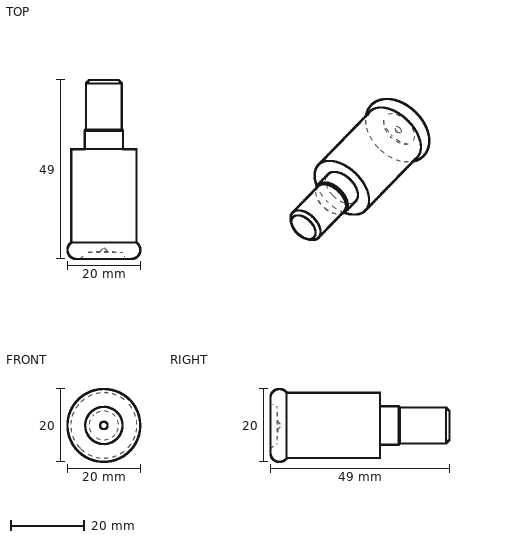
import cadquery as cq
import math

total_length = 49.0
rim_radius = 10.0
rim_tube_radius = 2.5
body_radius = 8.95
rim_back_radius = 9.0
rim_back_taper = 0.2
collar_radius = 5.3
shank_radius = 4.95
body_to_end = 18.95
collar_to_end = 13.95
collar_chamfer_length = 0.45
end_chamfer = 1.0
floor_radius = 5.1
floor_cone_depth = 0.4
center_hole_radius = 1.05
center_hole_angle = 90.0

tube_center_radius = rim_radius - rim_tube_radius
tube_center_y = rim_tube_radius

arc_inset = rim_tube_radius * (1 - math.sqrt(0.5))


def tube_half_height(radius):
    """Axial distance from the tube's centre to its surface at a given radius."""
    return math.sqrt(rim_tube_radius**2 - (radius - tube_center_radius) ** 2)


floor_y = tube_center_y - tube_half_height(floor_radius)
rim_back_y = tube_center_y + tube_half_height(rim_back_radius)
body_start_y = rim_back_y + rim_back_taper
body_end_y = total_length - body_to_end
collar_end_y = total_length - collar_to_end
shank_start_y = collar_end_y + collar_chamfer_length


def turned_body():
    """Stepped shank, body and rounded rim with a shallow conical floor."""
    profile = (
        cq.Workplane("XY")
        .moveTo(0, floor_y + floor_cone_depth)
        .lineTo(floor_radius, floor_y)
        .threePointArc((rim_radius - arc_inset, arc_inset), (rim_back_radius, rim_back_y))
        .lineTo(body_radius, body_start_y)
        .lineTo(body_radius, body_end_y)
        .lineTo(collar_radius, body_end_y)
        .lineTo(collar_radius, collar_end_y)
        .lineTo(shank_radius, shank_start_y)
        .lineTo(shank_radius, total_length - end_chamfer)
        .lineTo(shank_radius - end_chamfer, total_length)
        .lineTo(0, total_length)
        .close()
    )
    return profile.revolve(360, (0, 0, 0), (0, 1, 0))


def center_hole():
    """Conical centre hole opening on the floor of the rim."""
    mouth_y = floor_y + floor_cone_depth * (1 - center_hole_radius / floor_radius)
    cone_depth = center_hole_radius / math.tan(math.radians(center_hole_angle / 2))
    profile = (
        cq.Workplane("XY")
        .moveTo(0, floor_y)
        .lineTo(center_hole_radius, floor_y)
        .lineTo(center_hole_radius, mouth_y)
        .lineTo(0, mouth_y + cone_depth)
        .close()
    )
    return profile.revolve(360, (0, 0, 0), (0, 1, 0))


result = turned_body().cut(center_hole())